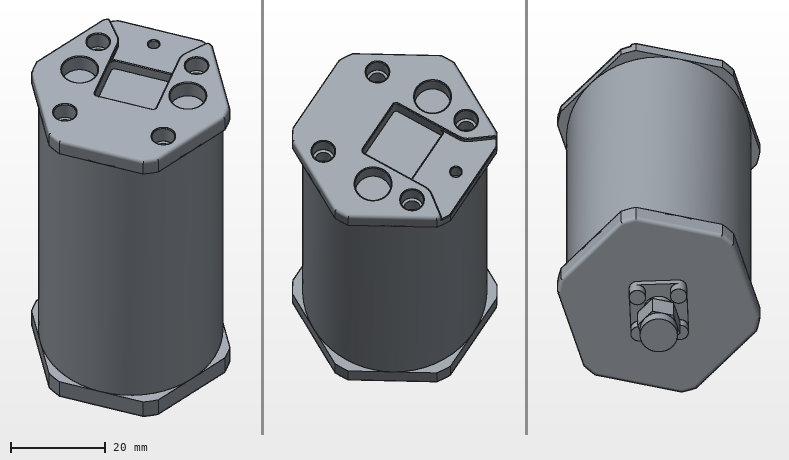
import cadquery as cq
import math

total_height = 90.4
ring_top = 2.7
nut_top = 8.3
flange_bottom = 11.4
base_bottom = 12.9
base_top = 17.8
lid_bottom = 86.7

plate_flats = 38.9
body_diameter = plate_flats
plate_corner_diameter = 43.1
plate_edge_radius = 0.8

edge_break = 0.2

zone_margin = 0.1

corner_hole_offset = 10.9
counterbore_diameter = 4.8
screw_hole_diameter = 3.4
lid_hole_depth = 4.0
screw_hole_depth = 2 * lid_hole_depth
port_diameter = 7.6
port_offset_x = 12.0
port_offset_y = 2.0
pin_hole_diameter = 2.3
pin_hole_y = 15.1
pin_hole_depth = lid_hole_depth

recess_depth = 1.2
recess_floor = total_height - recess_depth
recess_half_width = 6.8
recess_end_y = -4.1
recess_bend_y = 12.8
recess_bend_radius = 3.9
recess_flare_angle = 38.0
pocket_back_y = 8.0
pocket_depth = lid_hole_depth - recess_depth
pocket_corner_radius = 0.7

connector_screw_offset = 6.15
connector_screw_diameter = 3.4
connector_screw_bottom = 8.95
neck_diameter = 6.3
nut_flats = 7.9
ring_diameter = nut_flats


def cylinder(diameter, bottom, top, x=0.0, y=0.0):
    """Vertical cylinder between two heights."""
    return cq.Workplane("XY", origin=(x, y, bottom)).circle(diameter / 2).extrude(top - bottom)


def hexagon(flats, bottom, top):
    """Hexagonal prism with corners on the X axis and flats facing +Y and -Y."""
    corners = flats / math.cos(math.pi / 6)
    return cq.Workplane("XY", origin=(0, 0, bottom)).polygon(6, corners).extrude(top - bottom)


def end_plate(bottom, top, outer_face):
    """Hexagonal plate with its corners turned round and its outer rim filleted."""
    plate = hexagon(plate_flats, bottom, top)
    plate = plate.intersect(cylinder(plate_corner_diameter, bottom, top))
    return plate.faces(outer_face).edges().fillet(plate_edge_radius)


def connector():
    """Flange with four screws, neck, hexagonal nut and end ring."""
    screw_places = [
        (connector_screw_offset, 0),
        (0, connector_screw_offset),
        (-connector_screw_offset, 0),
        (0, -connector_screw_offset),
    ]
    flange_side = math.sqrt(2) * connector_screw_offset + connector_screw_diameter
    flange = (
        cq.Workplane("XY", origin=(0, 0, flange_bottom))
        .transformed(rotate=(0, 0, 45))
        .rect(flange_side, flange_side)
        .extrude(base_bottom - flange_bottom)
        .edges("|Z")
        .fillet(connector_screw_diameter / 2)
    )
    body = flange
    for x, y in screw_places:
        body = body.union(cylinder(connector_screw_diameter, connector_screw_bottom, flange_bottom, x, y))
    barrel = cylinder(neck_diameter, nut_top, flange_bottom)
    barrel = barrel.union(hexagon(nut_flats, ring_top, nut_top))
    barrel = barrel.union(cylinder(ring_diameter, 0, ring_top))
    return body.union(barrel)


def edge_zone(y_min, y_max, z_min, z_max):
    """Selects the edges centered in a Y and Z range, out to the full plate width in X."""
    return cq.selectors.BoxSelector(
        (-plate_corner_diameter, y_min - zone_margin, z_min - zone_margin),
        (plate_corner_diameter, y_max + zone_margin, z_max + zone_margin),
    )


def lid_recess():
    """Shallow recess that flares toward the +Y edge."""
    flare_end_y = plate_corner_diameter / 2
    flare_run = (flare_end_y - recess_bend_y) * math.tan(math.radians(recess_flare_angle))
    flare_half_width = recess_half_width + flare_run
    recess = (
        cq.Workplane("XY", origin=(0, 0, recess_floor))
        .polyline([
            (-recess_half_width, recess_end_y),
            (recess_half_width, recess_end_y),
            (recess_half_width, recess_bend_y),
            (flare_half_width, flare_end_y),
            (-flare_half_width, flare_end_y),
            (-recess_half_width, recess_bend_y),
        ])
        .close()
        .extrude(recess_depth)
    )
    bends = edge_zone(recess_bend_y, recess_bend_y, recess_floor, total_height)
    recess = recess.edges("|Z").edges(bends).fillet(recess_bend_radius)
    return recess.edges("|Z and <Y").fillet(pocket_corner_radius)


def lid_pocket():
    """Rectangular pocket with rounded corners, sunk into the recess floor."""
    pocket_length = pocket_back_y - recess_end_y
    pocket_center_y = (pocket_back_y + recess_end_y) / 2
    return (
        cq.Workplane("XY", origin=(0, pocket_center_y, recess_floor - pocket_depth))
        .rect(2 * recess_half_width, pocket_length)
        .extrude(pocket_depth)
        .edges("|Z")
        .fillet(pocket_corner_radius)
    )


def plain_hole(diameter, depth, mouth, x, y):
    """Blind round hole sunk from the height of its mouth."""
    return cylinder(diameter, mouth - depth, mouth, x, y)


def broken_hole(diameter, depth, mouth, x, y):
    """Blind round hole with a small chamfer around its mouth."""
    countersink = (
        cq.Workplane("XY", origin=(x, y, mouth))
        .circle(diameter / 2 + edge_break)
        .extrude(-edge_break, taper=45)
    )
    return plain_hole(diameter, depth, mouth, x, y).union(countersink)


def lid():
    """Top plate with its recess and pocket, before the holes are made."""
    plate = end_plate(lid_bottom, total_height, ">Z")
    plate = plate.cut(lid_recess()).cut(lid_pocket())
    flat_y = plate_flats / 2
    floor_rim = edge_zone(flat_y - plate_edge_radius, flat_y, recess_floor, recess_floor)
    plate = plate.edges(floor_rim).chamfer(edge_break)
    pocket_edge = edge_zone(pocket_back_y, pocket_back_y, recess_floor, recess_floor)
    plate = plate.edges(pocket_edge).chamfer(edge_break)
    wall_rim = cq.selectors.BoxSelector(
        (-corner_hole_offset, recess_end_y - zone_margin, total_height - zone_margin),
        (corner_hole_offset, flat_y, total_height + zone_margin),
    )
    return plate.faces(">Z").edges(wall_rim).chamfer(edge_break)


result = cylinder(body_diameter, base_top, lid_bottom)
result = result.union(end_plate(base_bottom, base_top, "<Z"))
result = result.union(connector())
result = result.union(lid())

result = result.cut(broken_hole(pin_hole_diameter, pin_hole_depth, recess_floor, 0, pin_hole_y))
for side_x in (-1, 1):
    port_x = side_x * port_offset_x
    result = result.cut(broken_hole(port_diameter, lid_hole_depth, total_height, port_x, port_offset_y))
    for side_y in (-1, 1):
        x = side_x * corner_hole_offset
        y = side_y * corner_hole_offset
        result = result.cut(broken_hole(counterbore_diameter, lid_hole_depth, total_height, x, y))
        result = result.cut(plain_hole(screw_hole_diameter, screw_hole_depth, total_height, x, y))